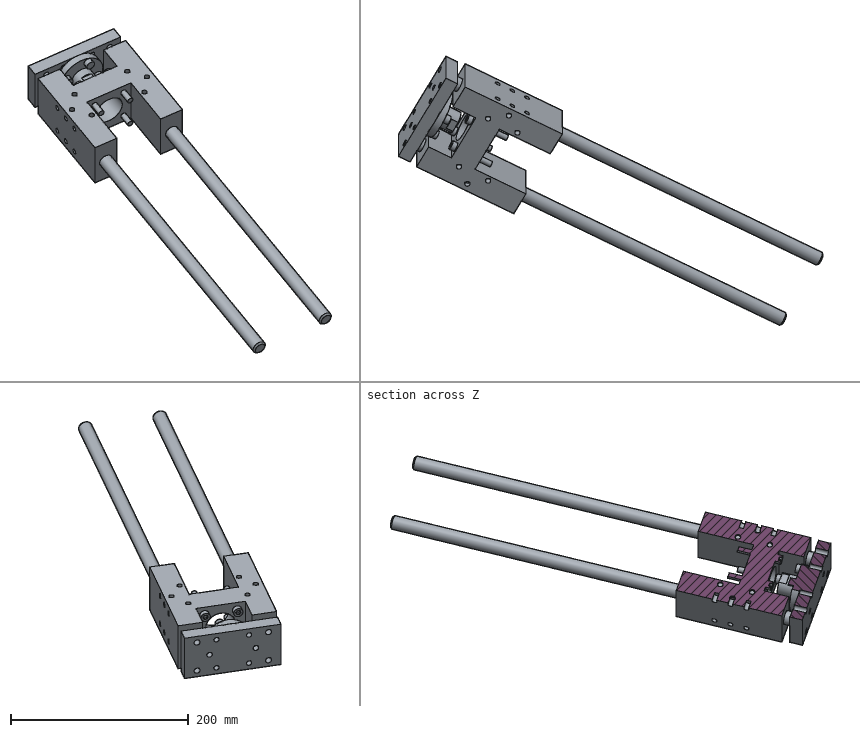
import cadquery as cq

OVERALL_LENGTH = 487.0
HOUSING_WIDTH = 115.0
HOUSING_HEIGHT = 58.0

HOUSING_START = 24.0
HOUSING_LENGTH = 124.5
ARM_WIDTH = 28.5
BRIDGE_START = 53.0
BRIDGE_LENGTH = 30.0
BRIDGE_END = BRIDGE_START + BRIDGE_LENGTH
BRIDGE_BORE_DIAMETER = 35.0

FIRST_HOLE_X = 65.7
HOLE_SPAN = 37.5
HOLE_DIAMETER = 6.0
HOLE_DEPTH = 9.5
TOP_INNER_HOLE_Y = 34.5
TOP_OUTER_HOLE_Y = 49.0

SCREW_SPAN = 38.0
SCREW_HEAD_DIAMETER = 10.5
SCREW_HEAD_HEIGHT = 6.0
SOCKET_ACROSS_CORNERS = 6.0
SOCKET_DEPTH = 3.0
SCREW_SHANK_DIAMETER = 7.0
SCREW_TIP_LENGTH = 15.0

PLATE_THICKNESS = 15.0
PLATE_WIDTH = 112.5
PLATE_HEIGHT = 54.5
CORNER_HOLE_SPAN = 83.5
CORNER_HOLE_DIAMETER = 7.0
INNER_HOLE_DIAMETER = 6.0
DOWEL_HOLE_SPAN = 54.0
DOWEL_HOLE_DIAMETER = 6.5
DOWEL_HOLE_DEPTH = 9.5

ROD_Y = 43.5
ROD_DIAMETER = 16.0
ROD_CHAMFER = 2.0

FLANGE_DIAMETER = 55.0
FLANGE_THICKNESS = HOUSING_START - PLATE_THICKNESS
STUD_DIAMETER = 26.0
STUD_LENGTH = 19.0
STUD_ACROSS_FLATS = 22.5
FLAT_LENGTH = 9.0
FLANGE_SCREW_NEAR = 8.0
FLANGE_SCREW_FAR = 20.5
FLANGE_SCREW_DIAMETER = 10.0
FLANGE_SCREW_HEIGHT = 6.5


def plane_at(x):
    """YZ plane at the given X, facing +X."""
    return cq.Workplane("YZ", origin=(x, 0, 0))


def cylinders_along_x(start, length, diameter, centers):
    return plane_at(start).pushPoints(centers).circle(diameter / 2).extrude(length)


def rectangle_pattern(span_y, span_z):
    """Corners of a centred rectangle, as (Y, Z) points."""
    return [(side_y * span_y / 2, side_z * span_z / 2) for side_y in (-1, 1) for side_z in (-1, 1)]


ROD_CENTERS = [(-ROD_Y, 0), (ROD_Y, 0)]
SCREW_CENTERS = rectangle_pattern(SCREW_SPAN, SCREW_SPAN)


def housing_block():
    gap_width = HOUSING_WIDTH - 2 * ARM_WIDTH
    housing_end = HOUSING_START + HOUSING_LENGTH
    block = plane_at(HOUSING_START).rect(HOUSING_WIDTH, HOUSING_HEIGHT).extrude(HOUSING_LENGTH)
    front_gap = plane_at(HOUSING_START).rect(gap_width, HOUSING_HEIGHT).extrude(BRIDGE_START - HOUSING_START)
    rear_gap = plane_at(BRIDGE_END).rect(gap_width, HOUSING_HEIGHT).extrude(housing_end - BRIDGE_END)
    bore = cylinders_along_x(BRIDGE_START, BRIDGE_LENGTH, BRIDGE_BORE_DIAMETER, [(0, 0)])
    rod_bores = cylinders_along_x(HOUSING_START, HOUSING_LENGTH, ROD_DIAMETER, ROD_CENTERS)
    return block.cut(front_gap).cut(rear_gap).cut(bore).cut(rod_bores)


def housing_mounting_holes():
    """Blind holes in the top, the bottom and both sides of the housing."""
    first_x = FIRST_HOLE_X
    middle_x = first_x + HOLE_SPAN / 2
    last_x = first_x + HOLE_SPAN
    holes = cq.Workplane("XY")
    for side in (-1, 1):
        inner_y = side * TOP_INNER_HOLE_Y
        outer_y = side * TOP_OUTER_HOLE_Y
        top_centers = [(first_x, inner_y), (middle_x, outer_y), (last_x, inner_y)]
        for face in (-1, 1):
            face_z = face * HOUSING_HEIGHT / 2
            top_plane = cq.Workplane("XY", origin=(0, 0, face_z))
            top_holes = top_plane.pushPoints(top_centers).circle(HOLE_DIAMETER / 2)
            holes = holes.add(top_holes.extrude(-face * HOLE_DEPTH))
        side_plane = cq.Workplane("XZ", origin=(0, side * HOUSING_WIDTH / 2, 0))
        side_centers = [(x, row * HOLE_SPAN / 2) for x in (first_x, middle_x, last_x) for row in (-1, 1)]
        side_holes = side_plane.pushPoints(side_centers).circle(HOLE_DIAMETER / 2)
        holes = holes.add(side_holes.extrude(side * HOLE_DEPTH))
    return holes


def bridge_screws():
    """Socket screw heads in front of the bridge and screw tips behind it."""
    head_start = BRIDGE_START - SCREW_HEAD_HEIGHT
    heads = cylinders_along_x(head_start, SCREW_HEAD_HEIGHT, SCREW_HEAD_DIAMETER, SCREW_CENTERS)
    socket_outlines = plane_at(head_start).pushPoints(SCREW_CENTERS).polygon(6, SOCKET_ACROSS_CORNERS)
    heads = heads.cut(socket_outlines.extrude(SOCKET_DEPTH))
    tips = cylinders_along_x(BRIDGE_END, SCREW_TIP_LENGTH, SCREW_SHANK_DIAMETER, SCREW_CENTERS)
    return heads.add(tips)


def make_housing():
    body = housing_block()
    for holes in housing_mounting_holes().vals():
        body = body.cut(cq.Workplane(holes))
    for screws in bridge_screws().vals():
        body = body.union(cq.Workplane(screws))
    return body


def front_plate():
    return plane_at(0).rect(PLATE_WIDTH, PLATE_HEIGHT).extrude(PLATE_THICKNESS)


def coupling_stud():
    """Round stud with a wrench flat on its top and bottom at the free end."""
    stud = cylinders_along_x(HOUSING_START, STUD_LENGTH, STUD_DIAMETER, [(0, 0)])
    flats_start = HOUSING_START + STUD_LENGTH - FLAT_LENGTH
    waste = plane_at(flats_start).rect(STUD_DIAMETER, STUD_DIAMETER)
    waste = waste.rect(STUD_DIAMETER, STUD_ACROSS_FLATS).extrude(FLAT_LENGTH)
    return stud.cut(waste)


def coupling():
    """Round flange with four screw heads and a stud in its middle."""
    near, far = FLANGE_SCREW_NEAR, FLANGE_SCREW_FAR
    screw_centers = [(near, far), (-far, near), (-near, -far), (far, -near)]
    flange = cylinders_along_x(PLATE_THICKNESS, FLANGE_THICKNESS, FLANGE_DIAMETER, [(0, 0)])
    screw_heads = cylinders_along_x(
        HOUSING_START, FLANGE_SCREW_HEIGHT, FLANGE_SCREW_DIAMETER, screw_centers
    )
    return flange.union(screw_heads).union(coupling_stud())


def guide_rods():
    rod_length = OVERALL_LENGTH - PLATE_THICKNESS
    rods = cylinders_along_x(PLATE_THICKNESS, rod_length, ROD_DIAMETER, ROD_CENTERS)
    return rods.faces(">X").chamfer(ROD_CHAMFER)


def plate_holes():
    """Corner and inner holes through the plate, and two blind dowel holes."""
    corner_centers = rectangle_pattern(CORNER_HOLE_SPAN, SCREW_SPAN)
    dowel_centers = [(-DOWEL_HOLE_SPAN / 2, 0), (DOWEL_HOLE_SPAN / 2, 0)]
    corner_holes = cylinders_along_x(0, PLATE_THICKNESS, CORNER_HOLE_DIAMETER, corner_centers)
    inner_holes = cylinders_along_x(0, PLATE_THICKNESS, INNER_HOLE_DIAMETER, SCREW_CENTERS)
    dowel_holes = cylinders_along_x(0, DOWEL_HOLE_DEPTH, DOWEL_HOLE_DIAMETER, dowel_centers)
    return corner_holes.union(inner_holes).union(dowel_holes)


def make_slide():
    return front_plate().union(coupling()).cut(plate_holes()).union(guide_rods())


housing = make_housing()
slide = make_slide()
result = cq.Compound.makeCompound([housing.val(), slide.val()])